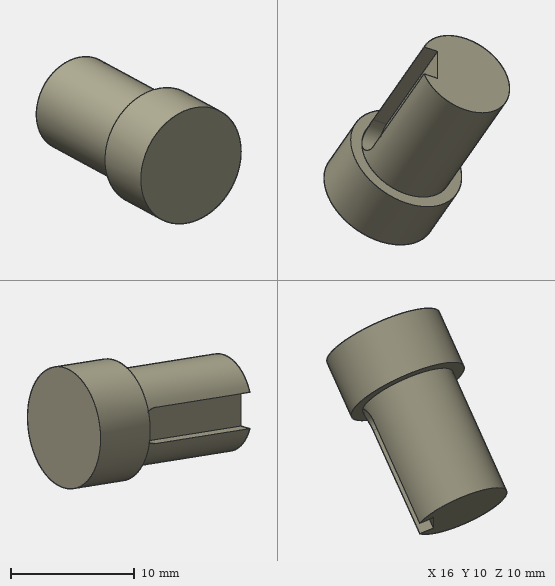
import cadquery as cq

total_length = 16.0
head_diameter = 10.0
head_length = head_diameter / 2
shank_diameter = 8.0
shank_length = total_length - head_length

keyway_width = 3.0
keyway_floor = 2.5
keyway_length = shank_length


def make_shank():
    return cq.Workplane("YZ").circle(shank_diameter / 2).extrude(shank_length)


def make_head():
    return (
        cq.Workplane("YZ", origin=(shank_length, 0, 0))
        .circle(head_diameter / 2)
        .extrude(head_length)
    )


def make_keyway_cutter():
    """Slot open at the shank tip, closed by a half-round end with its axis along Y."""
    end_radius = keyway_width / 2
    straight_length = keyway_length - end_radius
    cut_depth = shank_diameter / 2 - keyway_floor
    return (
        cq.Workplane("XZ", origin=(0, keyway_floor, 0))
        .moveTo(0, -end_radius)
        .lineTo(straight_length, -end_radius)
        .threePointArc((keyway_length, 0), (straight_length, end_radius))
        .lineTo(0, end_radius)
        .close()
        .extrude(-cut_depth)
    )


result = make_shank().cut(make_keyway_cutter()).union(make_head())